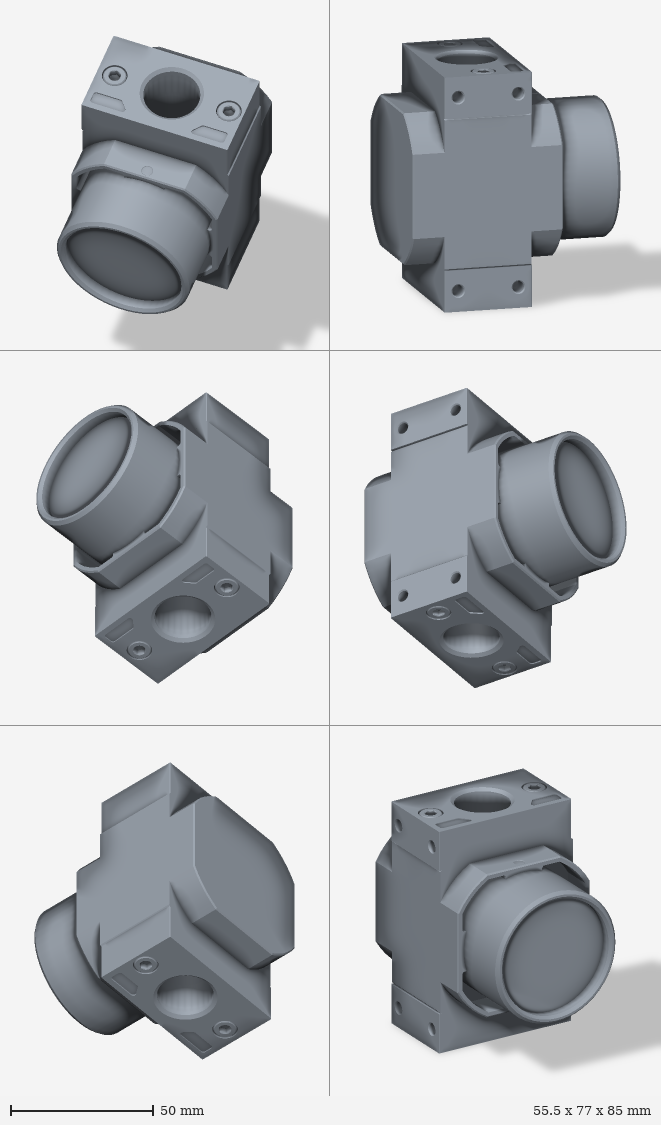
import cadquery as cq
import math


overall_height = 85.0
overall_depth = 77.0
housing_size = 55.0
half_housing = housing_size / 2
block_depth = 32.0
flange_height = (overall_height - housing_size) / 2
flange_shift = 0.5
half_height = overall_height / 2

drum_arc_radius = 31.45
edge_chamfer = 0.5
bore_diameter = 19.2
pocket_wall = 1.95
web_width = 15.1
web_fillet = 1.0
pocket_depth = (housing_size - block_depth) / 2

flange_edge_chamfer = 0.25
port_chamfer_radial = 1.3
port_chamfer_axial = 1.0
port_taper = 1 / 16
port_length = flange_height - port_chamfer_axial
port_diameter = bore_diameter + port_taper * port_length
port_mouth = port_diameter + 2 * port_chamfer_radial
side_hole_diameter = 4.2
side_hole_mouth = 5.0
side_hole_depth = 8.0
side_hole_spacing = 22.0

label_end_margin = 2.3
label_near_y = -9.0
label_far_y = -13.8
label_slant_run = 3.9
left_label_length = 10.2
right_label_length = 9.6
label_fillet = 1.0
label_depth = 0.5

screw_spacing = 43.0
screw_positions = (-screw_spacing / 2, screw_spacing / 2)
head_diameter = 8.5
head_height = 5.0
head_chamfer = 0.5
counterbore_diameter = 9.0
shank_diameter = 5.0
thread_engagement = 9.0
shank_end_z = half_housing - thread_engagement
socket_across_flats = 4.0
socket_mouth = 4.6
socket_depth = 2.5
socket_cone_depth = 1.0

knob_diameter = 50.0
knob_front_y = half_housing - overall_depth
knob_back_y = -block_depth / 2
knob_chamfer_radial = 1.1
knob_chamfer_axial = 1.3
dish_diameter = 44.0
dish_depth = 4.6
dish_chamfer = 1.0

pin_diameter = 3.8
pin_hole_mouth = 4.2
pin_mouth_chamfer = (pin_hole_mouth - pin_diameter) / 2
pin_y = -24.4
pin_hole_start_z = 0


def drum_profile(half_width, arc_radius):
    """Square with corners rounded by one circle about the centre, on the XZ plane."""
    flat = math.sqrt(arc_radius**2 - half_width**2)
    diagonal = arc_radius / math.sqrt(2)
    return (
        cq.Workplane("XZ")
        .moveTo(-flat, half_width)
        .lineTo(flat, half_width)
        .threePointArc((diagonal, diagonal), (half_width, flat))
        .lineTo(half_width, -flat)
        .threePointArc((diagonal, -diagonal), (flat, -half_width))
        .lineTo(-flat, -half_width)
        .threePointArc((-diagonal, -diagonal), (-half_width, -flat))
        .lineTo(-half_width, flat)
        .threePointArc((-diagonal, diagonal), (-flat, half_width))
        .close()
    )


def z_cylinder(diameter, z_low, z_high, x=0.0, y=0.0):
    return cq.Workplane("XY", origin=(x, y, z_low)).circle(diameter / 2).extrude(z_high - z_low)


def z_cone(low_diameter, high_diameter, z_low, z_high, x=0.0, y=0.0):
    cone = cq.Solid.makeCone(
        low_diameter / 2, high_diameter / 2, z_high - z_low, pnt=cq.Vector(x, y, z_low)
    )
    return cq.Workplane(cone)


def mirror_down(body):
    return body.mirror("XY")


def corner_pockets():
    """Four pockets around the knob, open to the front and separated by ribs."""
    outer_wall = half_housing - pocket_wall
    rib_side = web_width / 2
    pockets = drum_profile(outer_wall, drum_arc_radius - pocket_wall).extrude(pocket_depth)
    for rib_size in ((web_width, housing_size), (housing_size, web_width)):
        pockets = pockets.cut(cq.Workplane("XZ").rect(*rib_size).extrude(pocket_depth))

    for sign_x in (-1, 1):
        for sign_z in (-1, 1):
            for x, z in ((rib_side, outer_wall), (outer_wall, rib_side)):
                corner = cq.selectors.NearestToPointSelector((sign_x * x, -pocket_depth / 2, sign_z * z))
                pockets = pockets.edges("|Y").edges(corner).fillet(web_fillet)
    return pockets.translate((0, knob_back_y, 0))


def make_housing():
    block = (
        cq.Workplane("XY")
        .box(housing_size, block_depth, housing_size)
        .edges("|Y")
        .chamfer(edge_chamfer)
    )
    drum = (
        drum_profile(half_housing, drum_arc_radius)
        .extrude(half_housing, both=True)
        .faces("<Y or >Y")
        .chamfer(edge_chamfer)
    )
    knob_seat = (
        cq.Workplane("XZ", origin=(0, knob_back_y, 0)).circle(knob_diameter / 2).extrude(pocket_depth)
    )
    housing = block.union(drum).cut(corner_pockets()).cut(knob_seat)
    housing = housing.cut(z_cylinder(bore_diameter, -half_housing, half_housing))

    for x in screw_positions:
        screw_hole = z_cylinder(shank_diameter, shank_end_z, half_housing, x)
        housing = housing.cut(screw_hole).cut(mirror_down(screw_hole))

    pin_hole = z_cylinder(pin_diameter, pin_hole_start_z, half_housing, 0, pin_y)
    pin_mouth = z_cone(
        pin_diameter, pin_hole_mouth, half_housing - pin_mouth_chamfer, half_housing, 0, pin_y
    )
    return housing.cut(pin_hole).cut(pin_mouth)


def label_recess(end_x, inward, near_length):
    """Shallow recess with one slanted end; inward is the X direction toward the bore."""
    return (
        cq.Workplane("XY", origin=(0, 0, half_height - label_depth))
        .moveTo(end_x, label_near_y)
        .lineTo(end_x + inward * near_length, label_near_y)
        .lineTo(end_x + inward * (near_length + label_slant_run), label_far_y)
        .lineTo(end_x, label_far_y)
        .close()
        .extrude(label_depth)
        .edges("|Z")
        .fillet(label_fillet)
    )


def side_hole(x_face, y, z):
    """Blind countersunk hole bored toward +X."""
    countersink = (side_hole_mouth - side_hole_diameter) / 2
    hole = cq.Workplane("YZ", origin=(x_face, y, z)).circle(side_hole_diameter / 2).extrude(side_hole_depth)
    mouth = cq.Solid.makeCone(
        side_hole_mouth / 2,
        side_hole_diameter / 2,
        countersink,
        pnt=cq.Vector(x_face, y, z),
        dir=cq.Vector(1, 0, 0),
    )
    return hole.union(cq.Workplane(mouth))


def make_flange():
    """Upper flange; the lower one is its mirror image."""
    centre_z = half_height - flange_height / 2
    left_x = -half_housing - flange_shift
    right_x = half_housing - flange_shift
    flange = (
        cq.Workplane("XY")
        .box(housing_size, block_depth, flange_height)
        .edges("|Z")
        .chamfer(flange_edge_chamfer)
        .translate((-flange_shift, 0, centre_z))
    )
    port_edge_z = half_height - port_chamfer_axial
    flange = flange.cut(z_cone(bore_diameter, port_diameter, half_housing, port_edge_z))
    flange = flange.cut(z_cone(port_diameter, port_mouth, port_edge_z, half_height))

    for x in screw_positions:
        flange = flange.cut(z_cylinder(shank_diameter, half_housing, half_height, x))
        flange = flange.cut(z_cylinder(counterbore_diameter, half_height - head_height, half_height, x))

    for y in (-side_hole_spacing / 2, side_hole_spacing / 2):
        flange = flange.cut(side_hole(left_x, y, centre_z))

    flange = flange.cut(label_recess(left_x + label_end_margin, 1, left_label_length))
    return flange.cut(label_recess(right_x - label_end_margin, -1, right_label_length))


def make_screw(x):
    """Hexagon socket screw in the upper flange, its head flush with the flange face."""
    head_bottom_z = half_height - head_height
    socket_floor_z = half_height - socket_depth
    head = z_cylinder(head_diameter, head_bottom_z, half_height, x).faces(">Z").chamfer(head_chamfer)
    socket = (
        cq.Workplane("XY", origin=(x, 0, socket_floor_z))
        .polygon(6, socket_across_flats, circumscribed=True)
        .extrude(socket_depth)
    )
    cone_tip = z_cone(0, socket_across_flats, socket_floor_z - socket_cone_depth, socket_floor_z, x)
    mouth_z = half_height - (socket_mouth - socket_across_flats) / 2
    mouth = z_cone(socket_across_flats, socket_mouth, mouth_z, half_height, x)
    shank = z_cylinder(shank_diameter, shank_end_z, head_bottom_z, x)
    return head.union(shank).cut(socket).cut(cone_tip).cut(mouth)


def make_knob():
    """Round knob with a dished front, turned about the Y axis."""
    radius = knob_diameter / 2
    dish_radius = dish_diameter / 2
    dish_floor_y = knob_front_y + dish_depth
    return (
        cq.Workplane("XY")
        .moveTo(0, knob_back_y)
        .lineTo(radius, knob_back_y)
        .lineTo(radius, knob_front_y + knob_chamfer_axial)
        .lineTo(radius - knob_chamfer_radial, knob_front_y)
        .lineTo(dish_radius + dish_chamfer, knob_front_y)
        .lineTo(dish_radius, knob_front_y + dish_chamfer)
        .lineTo(dish_radius, dish_floor_y)
        .lineTo(0, dish_floor_y)
        .close()
        .revolve(360, (0, 0, 0), (0, 1, 0))
    )


def make_pin():
    """Plain pin that stands on the knob inside the upper rib of the housing."""
    return z_cylinder(pin_diameter, knob_diameter / 2, half_housing - pin_mouth_chamfer, 0, pin_y)


housing = make_housing()
knob = make_knob()
pin = make_pin()

upper_flange = make_flange()
flanges = [upper_flange, mirror_down(upper_flange)]

screws = []
for screw_x in screw_positions:
    upper_screw = make_screw(screw_x)
    screws += [upper_screw, mirror_down(upper_screw)]

bodies = [housing, knob, pin, *flanges, *screws]
result = cq.Compound.makeCompound([body.val() for body in bodies])